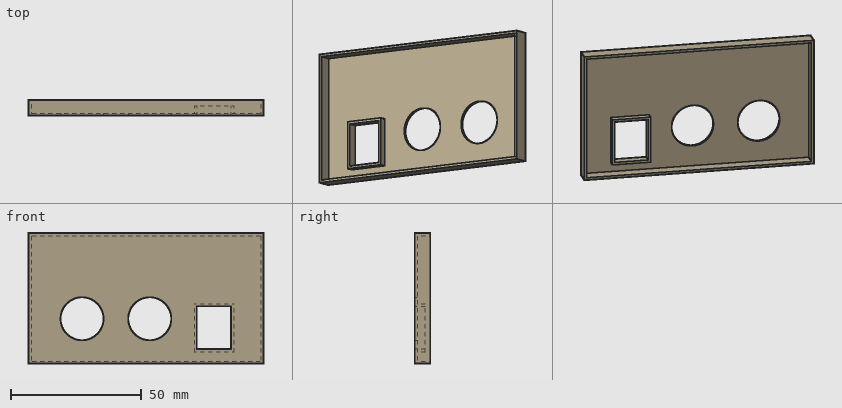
import cadquery as cq

length = 90.0
depth = 6.0
height = 50.0
wall = 1.0

hole_diameter = 16.4
hole_spacing = 25.9
first_hole_x = -24.5
hole_z = -7.8

window_width = 13.05
window_height = 16.3
window_x = 26.0
window_z = -11.25
collar_depth = 3.9

front_y = -depth / 2


def block(width, tall, y_start, y_length, x=0.0, z=0.0):
    """Box centred on x and z, running toward +Y from y_start."""
    centre = (x, y_start + y_length / 2, z)
    return cq.Workplane("XY").box(width, y_length, tall).translate(centre)


plate = block(length, height, front_y, depth)
cavity = block(length - 2 * wall, height - 2 * wall, front_y + wall, depth - wall)
result = plate.cut(cavity)

collar = block(
    window_width + 2 * wall, window_height + 2 * wall, front_y, collar_depth, window_x, window_z
)
window = block(window_width, window_height, front_y, depth, window_x, window_z)
result = result.union(collar).cut(window)

for index in range(2):
    hole_x = first_hole_x + index * hole_spacing
    hole = (
        cq.Workplane("XZ", origin=(hole_x, front_y, hole_z))
        .circle(hole_diameter / 2)
        .extrude(-depth)
    )
    result = result.cut(hole)